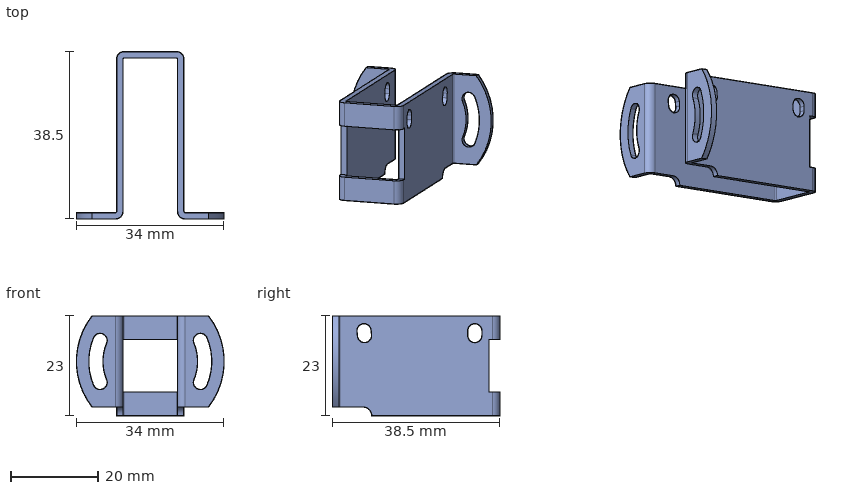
import cadquery as cq
import math

thickness = 1.5
bend_inner_radius = 0.25
bend_outer_radius = bend_inner_radius + thickness

length = 38.5
channel_width = 15.5
flange_height = 21.0
wall_drop = 2.0
top_z = flange_height / 2
flange_bottom_z = -flange_height / 2
bottom_z = flange_bottom_z - wall_drop

flange_radius = 17.0
arc_slot_radius = 12.5
slot_width = 3.2
arc_slot_half_angle = 22.7

back_strip_height = 5.5
window_depth = 2.5

clearance_length = 9.0

wall_slot_length = 4.3
wall_slot_depth = 4.0
rear_slot_setback = 5.8
wall_slot_spacing = 25.4
wall_slot_z = top_z - wall_slot_depth
rear_slot_y = length - rear_slot_setback
front_slot_y = rear_slot_y - wall_slot_spacing
front_slot_tilt = 6.0


def bent_half():
    """The +X half of the bent sheet, with the flange end still straight."""
    outer_x = channel_width / 2
    inner_x = outer_x - thickness
    back_inner_y = length - thickness
    bend_mid = math.sqrt(0.5)

    def arc_to(sketch, center, radius, direction, end):
        """Quarter bend; direction holds the signs pointing from the center to its middle."""
        middle = (
            center[0] + direction[0] * radius * bend_mid,
            center[1] + direction[1] * radius * bend_mid,
        )
        return sketch.threePointArc(middle, end)

    back_center = (outer_x - bend_outer_radius, length - bend_outer_radius)
    front_center = (inner_x + bend_outer_radius, bend_outer_radius)

    outline = cq.Workplane("XY").workplane(offset=bottom_z).moveTo(0, length)
    outline = outline.lineTo(back_center[0], length)
    outline = arc_to(outline, back_center, bend_outer_radius, (1, 1), (outer_x, back_center[1]))
    outline = outline.lineTo(outer_x, front_center[1])
    outline = arc_to(outline, front_center, bend_inner_radius, (-1, -1), (front_center[0], thickness))
    outline = outline.lineTo(flange_radius, thickness)
    outline = outline.lineTo(flange_radius, 0)
    outline = outline.lineTo(front_center[0], 0)
    outline = arc_to(outline, front_center, bend_outer_radius, (-1, -1), (inner_x, front_center[1]))
    outline = outline.lineTo(inner_x, back_center[1])
    outline = arc_to(outline, back_center, bend_inner_radius, (1, 1), (back_center[0], back_inner_y))
    outline = outline.lineTo(0, back_inner_y)
    return outline.close().extrude(top_z - bottom_z)


def flange_rounding():
    """Disc that gives the flange ends their round outline."""
    return cq.Workplane("XZ").circle(flange_radius).extrude(-length)


def front_clearance():
    """Notch below the flanges, its rear end a quarter round as tall as the notch."""
    round_center_y = clearance_length - wall_drop
    middle_offset = wall_drop * math.sqrt(0.5)
    return (
        cq.Workplane("YZ")
        .moveTo(0, bottom_z)
        .lineTo(clearance_length, bottom_z)
        .threePointArc(
            (round_center_y + middle_offset, bottom_z + middle_offset),
            (round_center_y, flange_bottom_z),
        )
        .lineTo(0, flange_bottom_z)
        .close()
        .extrude(flange_radius, both=True)
    )


def back_window():
    window_bottom_z = bottom_z + back_strip_height
    window_height = top_z - back_strip_height - window_bottom_z
    return (
        cq.Workplane("XY")
        .box(channel_width, window_depth, window_height, centered=(True, False, False))
        .translate((0, length - window_depth, window_bottom_z))
    )


def arc_slot(side):
    """Arc slot through one flange; side is +1 or -1 along X."""
    inner_radius = arc_slot_radius - slot_width / 2
    outer_radius = arc_slot_radius + slot_width / 2
    tip_angle = arc_slot_half_angle + math.degrees(math.asin(slot_width / 2 / arc_slot_radius))

    def polar(radius, degrees):
        angle = math.radians(degrees)
        return (side * radius * math.cos(angle), radius * math.sin(angle))

    return (
        cq.Workplane("XZ")
        .moveTo(*polar(inner_radius, -arc_slot_half_angle))
        .threePointArc(polar(inner_radius, 0), polar(inner_radius, arc_slot_half_angle))
        .threePointArc(polar(arc_slot_radius, tip_angle), polar(outer_radius, arc_slot_half_angle))
        .threePointArc(polar(outer_radius, 0), polar(outer_radius, -arc_slot_half_angle))
        .threePointArc(polar(arc_slot_radius, -tip_angle), polar(inner_radius, -arc_slot_half_angle))
        .close()
        .extrude(-thickness)
    )


def wall_slot(center_y, tilt):
    """Upright slot through both walls, leaning to the front by tilt degrees."""
    return (
        cq.Workplane("YZ")
        .center(center_y, wall_slot_z)
        .slot2D(wall_slot_length, slot_width, 90 + tilt)
        .extrude(channel_width / 2, both=True)
    )


half = bent_half()
bracket = half.union(half.mirror("YZ"))
bracket = bracket.intersect(flange_rounding())
bracket = bracket.cut(front_clearance())
bracket = bracket.cut(back_window())
for side in (-1, 1):
    bracket = bracket.cut(arc_slot(side))
for slot_y, slot_tilt in ((rear_slot_y, 0), (front_slot_y, front_slot_tilt)):
    bracket = bracket.cut(wall_slot(slot_y, slot_tilt))

result = bracket